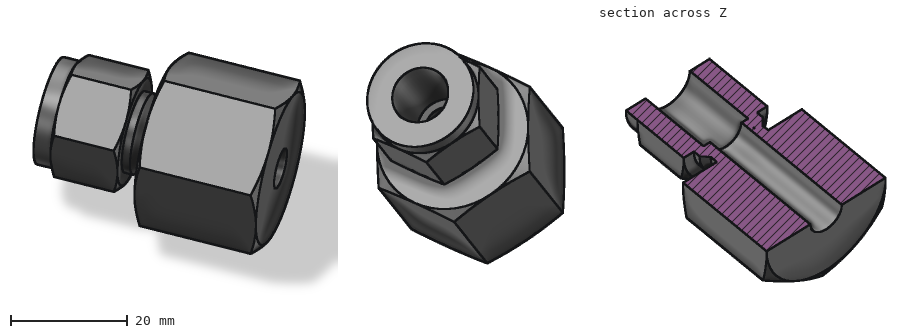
import cadquery as cq
import math

total_length = 41.4

nut_across_flats = 19.0
collar_length = 3.05
nut_end = 15.15

shoulder_diameter = 14.4
shoulder_end = 16.65
neck_diameter = 11.75
taper_end = 18.0

body_across_flats = 27.0
body_start = 19.5

tube_socket_diameter = 10.0
tube_socket_depth = nut_end
through_bore_diameter = 7.1

corner_chamfer_angle = 24.5


def chamfered_hexagon(across_flats, start, end):
    """Hexagonal prism along X, corners up and down, with conical chamfers on both ends."""
    across_corners = across_flats / math.cos(math.radians(30))
    face_radius = across_flats / 2
    corner_radius = across_corners / 2
    chamfer_length = (corner_radius - face_radius) * math.tan(math.radians(corner_chamfer_angle))
    prism = (
        cq.Workplane("YZ", origin=(start, 0, 0))
        .transformed(rotate=(0, 0, 90))
        .polygon(6, across_corners)
        .extrude(end - start)
    )
    envelope = revolve_about_x(
        [
            (start, 0),
            (start, face_radius),
            (start + chamfer_length, corner_radius),
            (end - chamfer_length, corner_radius),
            (end, face_radius),
            (end, 0),
        ]
    )
    return prism.intersect(envelope)


def revolve_about_x(profile):
    """Solid of revolution about X from (x, radius) points."""
    return cq.Workplane("XY").polyline(profile).close().revolve(360, (0, 0, 0), (1, 0, 0))


def cylinder_along_x(diameter, start, end):
    return cq.Workplane("YZ", origin=(start, 0, 0)).circle(diameter / 2).extrude(end - start)


collar = cylinder_along_x(nut_across_flats, 0, collar_length)
nut = chamfered_hexagon(nut_across_flats, collar_length, nut_end)
neck = revolve_about_x(
    [
        (nut_end, 0),
        (nut_end, shoulder_diameter / 2),
        (shoulder_end, shoulder_diameter / 2),
        (taper_end, neck_diameter / 2),
        (body_start, neck_diameter / 2),
        (body_start, 0),
    ]
)
body = chamfered_hexagon(body_across_flats, body_start, total_length)

through_bore = cylinder_along_x(through_bore_diameter, 0, total_length)
tube_socket = cylinder_along_x(tube_socket_diameter, 0, tube_socket_depth)

result = collar.union(nut).union(neck).union(body).cut(through_bore).cut(tube_socket)